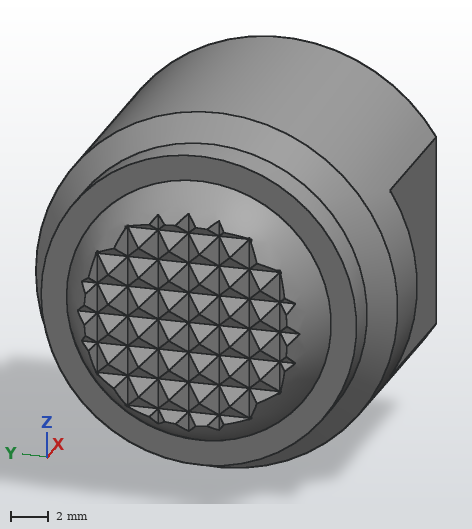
import cadquery as cq
import math


total_length = 28.0

ball_radius = 8.0
ball_center_x = 6.0
tooth_pitch = 1.68
tooth_angle = 90.0
tooth_depth = tooth_pitch / 2 / math.tan(math.radians(tooth_angle / 2))
outer_groove = 3

body_radius = 10.0
body_end_x = 18.0
body_start_x = ball_center_x
collar_radius = 8.7
collar_face_x = 2.72
collar_end_x = 4.65

flat_spacing = 17.0
flat_length = 8.45

stud_radius = 5.0
stud_chamfer = 0.55
neck_radius = stud_radius - stud_chamfer
neck_length = 2.05


def make_plain_ball():
    """Ball with its front cut flat, before the serrations are made."""
    flat_radius = math.sqrt(ball_radius**2 - ball_center_x**2)
    return (
        cq.Workplane("XY")
        .moveTo(0, 0)
        .lineTo(0, flat_radius)
        .threePointArc((ball_center_x, ball_radius), (ball_center_x + ball_radius, 0))
        .close()
        .revolve(360, (0, 0, 0), (1, 0, 0))
    )


def make_ball():
    """Ball with two crossed sets of V grooves that form pyramid teeth on its front."""
    ball = make_plain_ball()
    half_pitch = tooth_pitch / 2
    groove_along_z = (
        cq.Workplane("XY")
        .polyline([(0, -half_pitch), (tooth_depth, 0), (0, half_pitch)])
        .close()
        .extrude(ball_radius, both=True)
    )
    groove_along_y = groove_along_z.rotate((0, 0, 0), (1, 0, 0), 90)
    for index in range(-outer_groove, outer_groove + 1):
        offset = index * tooth_pitch
        ball = ball.cut(groove_along_z.translate((0, offset, 0)))
        ball = ball.cut(groove_along_y.translate((0, 0, offset)))
    return ball


def make_turned_blank():
    """Collar, front cone, body, neck and chamfered stud as one revolved outline."""
    neck_end_x = body_end_x + neck_length
    outline = [
        (collar_face_x, 0),
        (collar_face_x, collar_radius),
        (collar_end_x, collar_radius),
        (body_start_x, body_radius),
        (body_end_x, body_radius),
        (body_end_x, neck_radius),
        (neck_end_x, neck_radius),
        (neck_end_x + stud_chamfer, stud_radius),
        (total_length - stud_chamfer, stud_radius),
        (total_length, stud_radius - stud_chamfer),
        (total_length, 0),
    ]
    return cq.Workplane("XY").polyline(outline).close().revolve(360, (0, 0, 0), (1, 0, 0))


def cut_wrench_flats(blank):
    """Two parallel flats on the -Y and +Y sides, open towards the stud."""
    flat_depth = body_radius - flat_spacing / 2
    for side in (-1, 1):
        cutter = cq.Workplane("XY").box(flat_length, flat_depth, 2 * body_radius).translate(
            (body_end_x - flat_length / 2, side * (flat_spacing + flat_depth) / 2, 0)
        )
        blank = blank.cut(cutter)
    return blank


def make_housing():
    """Turned housing with wrench flats and a spherical socket for the ball."""
    housing = cut_wrench_flats(make_turned_blank())
    return housing.cut(make_plain_ball())


housing = make_housing()
ball = make_ball()

result = cq.Compound.makeCompound([housing.solids().val(), ball.solids().val()])